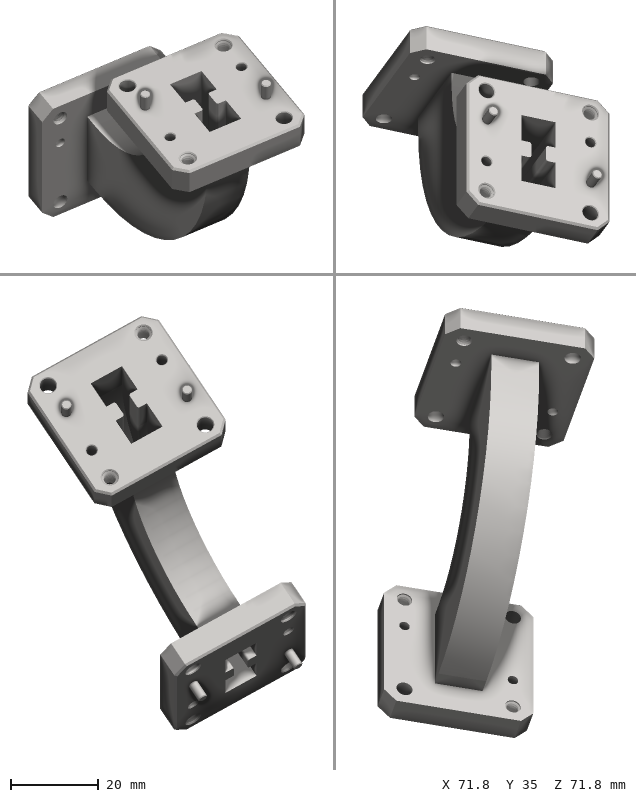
import cadquery as cq

overall = 71.8
flange_side = 35.0
flange_thickness = 6.6
flange_corner = 2.9
flange_edge_chamfer = 0.5
pin_reach = 4.3
neck_length = 3.45

tube_long = 20.7
tube_wide = 11.2
bore_long = 17.7
bore_wide = 8.3
ridge_thickness = 4.1
ridge_gap = 3.6
ridge_fillet = 0.6

screw_long = 13.5
pin_long = 5.5
hole_wide = 12.7
screw_diameter = 3.7
pin_hole_diameter = 2.45
pin_diameter = 2.3
hole_chamfer = 0.2
pin_chamfer = 0.2

tap_diameter = 2.8
thread_diameter = 3.6
thread_pitch = 0.65
tap_mouth_diameter = screw_diameter + 2 * hole_chamfer

bend_start = flange_thickness + neck_length
centre_to_face = overall - pin_reach - flange_side / 2
bend_radius = centre_to_face - bend_start

side_frame = cq.Plane((-centre_to_face, 0, 0), xDir=(0, 0, 1), normal=(-1, 0, 0))
top_frame = cq.Plane((0, 0, centre_to_face), xDir=(1, 0, 0), normal=(0, 0, 1))


def curved_tube(section):
    """Carry a section through both flanges and necks and round the bend between them."""
    side_run = cq.Workplane(side_frame).placeSketch(section).extrude(-bend_start)
    top_run = cq.Workplane(top_frame).placeSketch(section).extrude(-bend_start)
    bend = (
        cq.Workplane(side_frame)
        .workplane(offset=-bend_start)
        .placeSketch(section)
        .revolve(90, (bend_radius, 0.7), (bend_radius, 0))
    )
    return side_run.union(bend).union(top_run)


def bore_section():
    """Rectangle with a round-cornered ridge reaching in from each long side."""
    ridge_depth = bore_wide
    ridge_centre = (ridge_gap + ridge_depth) / 2
    ridge = cq.Sketch().rect(ridge_thickness, ridge_depth).vertices().fillet(ridge_fillet)
    return (
        cq.Sketch()
        .rect(bore_long, bore_wide)
        .push([(0, ridge_centre), (0, -ridge_centre)])
        .face(ridge, mode="s")
    )


def plain_hole(diameter):
    """Through-hole cutter with a small chamfer at the flange face."""
    radius = diameter / 2
    return (
        cq.Workplane("XZ")
        .lineTo(radius + hole_chamfer, 0)
        .lineTo(radius, -hole_chamfer)
        .lineTo(radius, -flange_thickness)
        .lineTo(0, -flange_thickness)
        .close()
        .revolve(360, (0, 0), (0, 1))
    )


def tapped_hole():
    """Through-hole cutter with a countersunk mouth and V-shaped thread ridges."""
    minor = tap_diameter / 2
    major = thread_diameter / 2
    mouth = tap_mouth_diameter / 2
    chamfer_depth = mouth - major
    depth = chamfer_depth + thread_pitch / 4
    profile = cq.Workplane("XZ").lineTo(mouth, 0).lineTo(major, -chamfer_depth).lineTo(major, -depth)
    ridge_count = int((flange_thickness - depth) / thread_pitch)
    for _ in range(ridge_count):
        profile = profile.lineTo(minor, -depth - thread_pitch / 2)
        depth += thread_pitch
        profile = profile.lineTo(major, -depth)
    return (
        profile.lineTo(major, -flange_thickness)
        .lineTo(0, -flange_thickness)
        .close()
        .revolve(360, (0, 0), (0, 1))
    )


def flange():
    """Flange plate with its face at Z = 0, four screw holes, two pin holes and two pins."""
    plate = (
        cq.Workplane("XY")
        .box(flange_side, flange_side, flange_thickness, centered=(True, True, False))
        .translate((0, 0, -flange_thickness))
        .edges("|Z")
        .chamfer(flange_corner)
        .faces(">Z")
        .chamfer(flange_edge_chamfer)
    )
    pin = (
        cq.Workplane("XY")
        .workplane(offset=-flange_thickness)
        .circle(pin_diameter / 2)
        .extrude(flange_thickness + pin_reach)
        .faces(">Z")
        .chamfer(pin_chamfer)
    )
    for side in (1, -1):
        wide = side * hole_wide
        plate = plate.cut(plain_hole(screw_diameter).translate((side * screw_long, wide, 0)))
        plate = plate.cut(tapped_hole().translate((-side * screw_long, wide, 0)))
        plate = plate.cut(plain_hole(pin_hole_diameter).translate((-side * pin_long, wide, 0)))
        plate = plate.union(pin.translate((side * pin_long, wide, 0)))
    return plate


flange_shape = flange().val()
side_flange = flange_shape.moved(cq.Location(side_frame))
top_flange = flange_shape.moved(cq.Location(top_frame))

tube = curved_tube(cq.Sketch().rect(tube_long, tube_wide))
bore = curved_tube(bore_section())

result = tube.union(side_flange).union(top_flange).cut(bore)